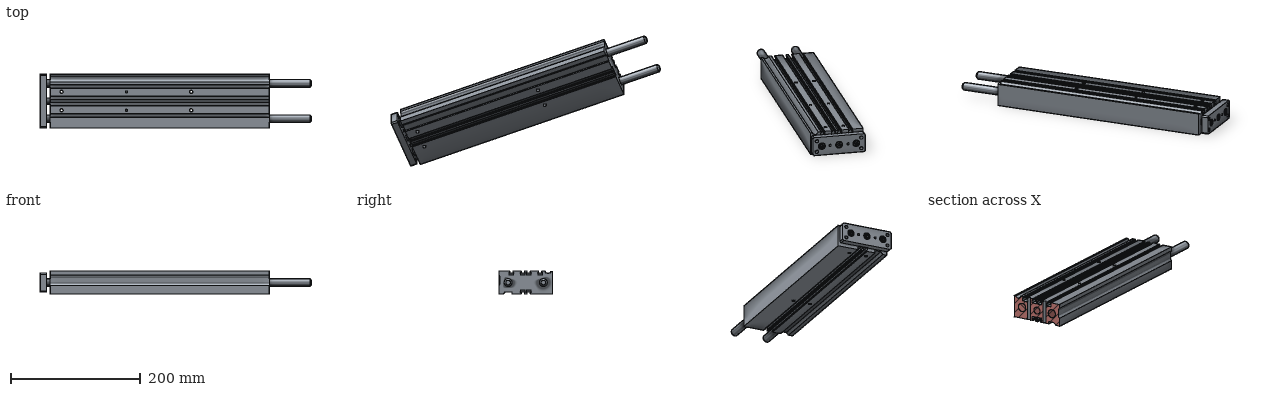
import cadquery as cq

OVERALL_LENGTH = 418.0
WIDTH = 83.0
HEIGHT = 36.0
HALF_WIDTH = WIDTH / 2
TOP = HEIGHT / 2
BOTTOM = -TOP

HOUSING_FRONT = 15.5
HOUSING_END = 353.2
HOUSING_LENGTH = HOUSING_END - HOUSING_FRONT

SLOT_MOUTH = 4.5
SLOT_LIP_CHAMFER = 1.0
SLOT_LIP_HEIGHT = 1.5
SLOT_UNDERCUT = 1.3
SLOT_DEPTH = 6.5
TWIN_SLOT_Y = 4.5
OUTER_SLOT_Y = 22.0

LEDGE_DROP = 1.3
HOLLOW_OUTER_Y = 38.5
HOLLOW_INNER_Y = 29.5
HOLLOW_LOW_Y = 34.3
HOLLOW_DEPTH = 3.8

SIDE_CHANNEL_TOP = 11.5
SIDE_CHANNEL_BOTTOM = -4.5
SIDE_CHANNEL_DEPTH = 2.0
SIDE_CHANNEL_WALL = 3.8
SIDE_CHANNEL_WALL_BOW = 0.7

BOTTOM_CHANNEL_INNER_Y = -21.5
BOTTOM_CHANNEL_OUTER_Y = -34.5
BOTTOM_CHANNEL_SLOPE = 3.8
BOTTOM_CHANNEL_DEPTH = 3.8

MOUNT_HOLE_Y = 14.2
MOUNT_HOLE_FIRST_X = 33.0
MOUNT_HOLE_SPACING = 200.0
MOUNT_HOLE_DIAMETER = 4.5
LOCATING_HOLE_X = MOUNT_HOLE_FIRST_X + MOUNT_HOLE_SPACING / 2
LOCATING_HOLE_DIAMETER = 3.5
LOCATING_HOLE_DEPTH = 5.0

PLATE_THICKNESS = 10.0
PLATE_HEIGHT = 29.5
PLATE_CHAMFER = 2.0
CORNER_HOLE_DIAMETER = 5.0
CORNER_HOLE_Y = 35.0
CORNER_HOLE_Z = 8.8
PLATE_PIN_HOLE_DIAMETER = 3.5
PLATE_PIN_HOLE_Y = 14.2

GUIDE_ROD_DIAMETER = 12.0
GUIDE_ROD_Y = 27.0
GUIDE_ROD_END_CHAMFER = 2.5
PISTON_ROD_DIAMETER = 10.0
PISTON_ROD_END = HOUSING_END - PLATE_THICKNESS
SPIGOT_DIAMETER = 9.0
SPIGOT_HOLE_CHAMFER = 1.0
SOCKET_ACROSS_CORNERS = 5.5
SOCKET_DEPTH = 5.0


def side_profile(start_x):
    """Workplane across the part at start_x, with local axes Y and Z and extrusion toward +X."""
    return cq.Workplane("YZ", origin=(start_x, 0, 0))


def x_cylinder(start_x, end_x, y, diameter):
    """Solid cylinder along X, centred on Z = 0."""
    return side_profile(start_x).center(y, 0).circle(diameter / 2).extrude(end_x - start_x)


def along_housing(outline):
    """Cutter with the given closed outline, as long as the housing."""
    return outline.close().extrude(HOUSING_LENGTH)


def slot_cutter(center_y, side):
    """Undercut slot in the top (side = 1) or the bottom (side = -1)."""
    half_mouth = SLOT_MOUTH / 2
    half_wide = half_mouth + SLOT_UNDERCUT
    half_points = [
        (half_mouth + SLOT_LIP_CHAMFER, TOP),
        (half_mouth, TOP - SLOT_LIP_CHAMFER),
        (half_mouth, TOP - SLOT_LIP_HEIGHT),
        (half_wide, TOP - SLOT_LIP_HEIGHT - SLOT_UNDERCUT),
        (half_wide, TOP - SLOT_DEPTH),
    ]
    right = [(center_y + y, side * z) for y, z in half_points]
    left = [(center_y - y, side * z) for y, z in reversed(half_points)]
    return along_housing(side_profile(HOUSING_FRONT).polyline(right + left))


def hollow_edge_cutter():
    """Lowers the top +Y edge and hollows it with an arc."""
    ledge_z = TOP - LEDGE_DROP
    outline = (
        side_profile(HOUSING_FRONT)
        .moveTo(HALF_WIDTH, TOP)
        .lineTo(HALF_WIDTH, ledge_z)
        .lineTo(HOLLOW_OUTER_Y, ledge_z)
        .threePointArc((HOLLOW_LOW_Y, TOP - HOLLOW_DEPTH), (HOLLOW_INNER_Y, TOP))
    )
    return along_housing(outline)


def side_channel_cutter():
    """Flat-floored channel whose two walls curve out to the -Y face."""
    face_y = -HALF_WIDTH
    floor_y = face_y + SIDE_CHANNEL_DEPTH
    half_wall = SIDE_CHANNEL_WALL / 2
    wall_mid_y = face_y + SIDE_CHANNEL_WALL_BOW * SIDE_CHANNEL_DEPTH
    outline = (
        side_profile(HOUSING_FRONT)
        .moveTo(face_y, SIDE_CHANNEL_TOP)
        .threePointArc(
            (wall_mid_y, SIDE_CHANNEL_TOP - half_wall),
            (floor_y, SIDE_CHANNEL_TOP - SIDE_CHANNEL_WALL),
        )
        .lineTo(floor_y, SIDE_CHANNEL_BOTTOM + SIDE_CHANNEL_WALL)
        .threePointArc(
            (wall_mid_y, SIDE_CHANNEL_BOTTOM + half_wall),
            (face_y, SIDE_CHANNEL_BOTTOM),
        )
    )
    return along_housing(outline)


def bottom_channel_cutter():
    """Channel with one upright wall and one sloping wall."""
    floor_z = BOTTOM + BOTTOM_CHANNEL_DEPTH
    outline = side_profile(HOUSING_FRONT).polyline(
        [
            (BOTTOM_CHANNEL_INNER_Y, BOTTOM),
            (BOTTOM_CHANNEL_INNER_Y, floor_z),
            (BOTTOM_CHANNEL_OUTER_Y + BOTTOM_CHANNEL_SLOPE, floor_z),
            (BOTTOM_CHANNEL_OUTER_Y, BOTTOM),
        ]
    )
    return along_housing(outline)


def top_holes():
    """Through mounting holes and blind locating holes, in two rows."""
    mount_points = [
        (MOUNT_HOLE_FIRST_X + step * MOUNT_HOLE_SPACING, y)
        for step in (0, 1)
        for y in (-MOUNT_HOLE_Y, MOUNT_HOLE_Y)
    ]
    locating_points = [(LOCATING_HOLE_X, y) for y in (-MOUNT_HOLE_Y, MOUNT_HOLE_Y)]
    top_plane = cq.Workplane("XY", origin=(0, 0, TOP))
    through = top_plane.pushPoints(mount_points).circle(MOUNT_HOLE_DIAMETER / 2).extrude(-HEIGHT)
    blind = (
        top_plane.pushPoints(locating_points)
        .circle(LOCATING_HOLE_DIAMETER / 2)
        .extrude(-LOCATING_HOLE_DEPTH)
    )
    return through.add(blind).combine()


def make_housing():
    housing = side_profile(HOUSING_FRONT).rect(WIDTH, HEIGHT).extrude(HOUSING_LENGTH)
    for y in (-OUTER_SLOT_Y, -TWIN_SLOT_Y, TWIN_SLOT_Y, OUTER_SLOT_Y):
        housing = housing.cut(slot_cutter(y, 1))
    for y in (-TWIN_SLOT_Y, TWIN_SLOT_Y):
        housing = housing.cut(slot_cutter(y, -1))
    housing = housing.cut(hollow_edge_cutter())
    housing = housing.cut(side_channel_cutter())
    housing = housing.cut(bottom_channel_cutter())
    housing = housing.cut(top_holes())
    for y in (-GUIDE_ROD_Y, GUIDE_ROD_Y):
        housing = housing.cut(x_cylinder(HOUSING_FRONT, HOUSING_END, y, GUIDE_ROD_DIAMETER))
    return housing.cut(x_cylinder(HOUSING_FRONT, PISTON_ROD_END, 0, PISTON_ROD_DIAMETER))


def make_plate():
    plate = side_profile(0).rect(WIDTH, PLATE_HEIGHT).extrude(PLATE_THICKNESS)
    plate = plate.edges("|X").chamfer(PLATE_CHAMFER)
    for y in (-GUIDE_ROD_Y, 0, GUIDE_ROD_Y):
        plate = plate.cut(x_cylinder(0, PLATE_THICKNESS, y, SPIGOT_DIAMETER))
    plate = plate.faces("<X").edges("%CIRCLE").chamfer(SPIGOT_HOLE_CHAMFER)
    corner_points = [
        (y, z)
        for y in (-CORNER_HOLE_Y, CORNER_HOLE_Y)
        for z in (-CORNER_HOLE_Z, CORNER_HOLE_Z)
    ]
    corner_holes = (
        side_profile(0)
        .pushPoints(corner_points)
        .circle(CORNER_HOLE_DIAMETER / 2)
        .extrude(PLATE_THICKNESS)
    )
    plate = plate.cut(corner_holes)
    for y in (-PLATE_PIN_HOLE_Y, PLATE_PIN_HOLE_Y):
        plate = plate.cut(x_cylinder(0, PLATE_THICKNESS, y, PLATE_PIN_HOLE_DIAMETER))
    return plate


def add_spigot(rod, y):
    """Adds the front spigot that fills the plate hole, with its hexagon socket."""
    spigot = x_cylinder(0, PLATE_THICKNESS, y, SPIGOT_DIAMETER)
    socket = side_profile(0).center(y, 0).polygon(6, SOCKET_ACROSS_CORNERS).extrude(SOCKET_DEPTH)
    return rod.union(spigot).cut(socket)


def make_guide_rod(y):
    rod = x_cylinder(PLATE_THICKNESS, OVERALL_LENGTH, y, GUIDE_ROD_DIAMETER)
    rod = rod.faces(">X").chamfer(GUIDE_ROD_END_CHAMFER)
    return add_spigot(rod, y)


def make_piston_rod():
    rod = x_cylinder(PLATE_THICKNESS, PISTON_ROD_END, 0, PISTON_ROD_DIAMETER)
    return add_spigot(rod, 0)


housing = make_housing()
plate = make_plate()
guide_rods = [make_guide_rod(y) for y in (-GUIDE_ROD_Y, GUIDE_ROD_Y)]
piston_rod = make_piston_rod()

result = cq.Compound.makeCompound(
    [housing.val(), plate.val(), *[rod.val() for rod in guide_rods], piston_rod.val()]
)